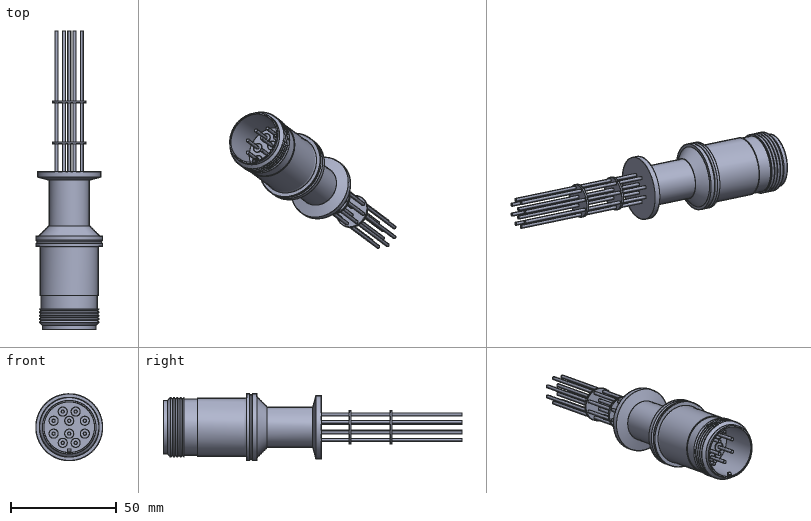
import cadquery as cq
import math


total_length = 141.48

lip_radius = 12.7
thread_chamfer_front = 1.9
thread_crest_radius = 14.2
thread_depth = 0.8
thread_pitch = 1.6
thread_ridges = 5
first_crest = thread_chamfer_front + (thread_crest_radius - lip_radius)
thread_root_radius = thread_crest_radius - thread_depth
last_crest = first_crest + (thread_ridges - 1) * thread_pitch

neck_radius = 13.4
barrel_radius = 13.8
barrel_front = 16.2
collar_radius = 31.75 / 2
collar_front = 39.4
collar_length = 4.9
collar_back = collar_front + collar_length
collar_groove_center = 41.5
collar_groove_depth = 0.8
barrel_chamfer_radial = 0.25
barrel_chamfer_length = 0.8

tube_radius = 9.525
shoulder_radius = 14.5
shoulder_ledge = 0.15
shoulder_back = collar_back + (shoulder_radius - shoulder_ledge - tube_radius)
flange_radius = 15.0
flange_back = 74.8
flange_rim_thickness = 2.6
flange_taper_angle = 15.0
flange_rim_front = flange_back - flange_rim_thickness
flange_taper_length = (flange_radius - tube_radius) * math.tan(math.radians(flange_taper_angle))

socket_radius = 12.0
socket_depth = 20.0
key_width = 1.5
key_tip_height = -11.2
key_top_height = -10.4
key_bottom_height = -12.5
key_length = key_tip_height - key_bottom_height
key_top_setback = key_top_height - key_tip_height

ring_count = 8
contact_ring_radius = 8.0
contact_center_offset = 3.05
pin_radius = 0.75
pin_tip = 8.7
insulator_radius = 2.15
insulator_height = 0.5

wire_ring_radius = 6.5
wire_center_offset = 2.1
wire_radius = 0.75
spacer_radius = 7.9
spacer_thickness = 1.0
spacer_centers = (88.45, 107.85)

overlap = 1.0


def rod(radius, start, end, x=0.0, z=0.0):
    """Cylinder along Y between start and end, centred at (x, z)."""
    direction = cq.Vector(0, 1, 0)
    base = cq.Vector(x, start, z)
    return cq.Workplane(cq.Solid.makeCylinder(radius, end - start, base, direction))


def contact_positions(ring_radius, center_offset):
    """(x, z) of the ring contacts followed by the two central contacts."""
    step = 2 * math.pi / ring_count
    angles = [(index + 0.5) * step for index in range(ring_count)]
    ring = [(ring_radius * math.cos(angle), ring_radius * math.sin(angle)) for angle in angles]
    return ring + [(0.0, center_offset), (0.0, -center_offset)]


def make_shell():
    """Revolved shell; the outline is given as (radius, y) from front to back."""
    outline = [(0, 0), (lip_radius, 0), (lip_radius, thread_chamfer_front)]
    for ridge in range(thread_ridges - 1):
        crest = first_crest + ridge * thread_pitch
        outline.append((thread_crest_radius, crest))
        outline.append((thread_root_radius, crest + thread_pitch / 2))
    outline += [
        (thread_crest_radius, last_crest),
        (neck_radius, last_crest),
        (neck_radius, barrel_front),
        (barrel_radius, barrel_front),
        (barrel_radius, collar_front - barrel_chamfer_length),
        (barrel_radius + barrel_chamfer_radial, collar_front),
        (collar_radius, collar_front),
        (collar_radius, collar_groove_center - collar_groove_depth),
        (collar_radius - collar_groove_depth, collar_groove_center),
        (collar_radius, collar_groove_center + collar_groove_depth),
        (collar_radius, collar_back),
        (shoulder_radius, collar_back),
        (tube_radius + shoulder_ledge, shoulder_back),
        (tube_radius, shoulder_back),
        (tube_radius, flange_rim_front - flange_taper_length),
        (flange_radius, flange_rim_front),
        (flange_radius, flange_back),
        (0, flange_back),
    ]
    return cq.Workplane("XY").polyline(outline).close().revolve(360, (0, 0, 0), (0, 1, 0))


def cut_socket(shell):
    """Bore the front socket and slot its lip at the bottom."""
    slot_bottom = -thread_crest_radius
    slot_height = key_top_height - slot_bottom
    slot = cq.Workplane("XY").box(key_width, key_length, slot_height, centered=(True, False, False))
    slot = slot.translate((0, 0, slot_bottom))
    return shell.cut(rod(socket_radius, 0, socket_depth)).cut(slot)


def make_key():
    """Wedge key that stands in the lip slot, its edge level with the lip face."""
    profile = [
        (0, key_tip_height),
        (key_top_setback, key_top_height),
        (key_length, key_top_height),
        (key_length, key_bottom_height),
    ]
    return cq.Workplane("YZ").polyline(profile).close().extrude(key_width / 2, both=True)


def add_contacts(body):
    """Contact pins with raised insulators on the socket floor."""
    for x, z in contact_positions(contact_ring_radius, contact_center_offset):
        body = body.union(rod(insulator_radius, socket_depth - insulator_height, socket_depth + overlap, x, z))
        body = body.union(rod(pin_radius, pin_tip, socket_depth + overlap, x, z))
    return body


def add_wires(body):
    """Wires leaving the flange, held by the spacer discs."""
    for x, z in contact_positions(wire_ring_radius, wire_center_offset):
        body = body.union(rod(wire_radius, flange_back - overlap, total_length, x, z))
    for center in spacer_centers:
        half = spacer_thickness / 2
        body = body.union(rod(spacer_radius, center - half, center + half))
    return body


result = cut_socket(make_shell()).union(make_key())
result = add_wires(add_contacts(result))